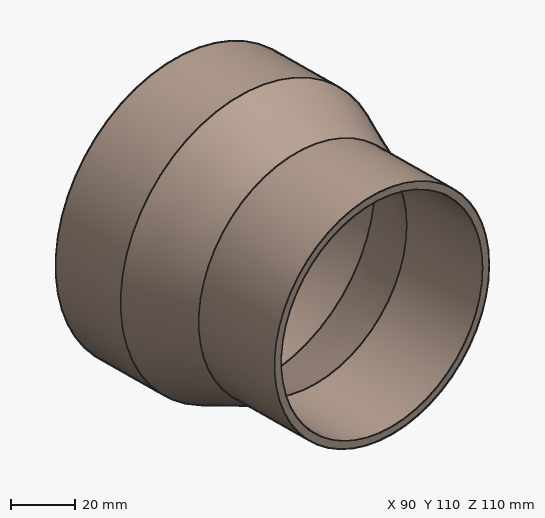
import cadquery as cq

large_outer_diameter = 110.0
large_inner_diameter = 103.2
small_outer_diameter = 90.0
small_inner_diameter = 84.4

large_length = 30.0
cone_length = 25.0
small_length = 35.0

cone_start = large_length
cone_end = cone_start + cone_length
total_length = cone_end + small_length


def stepped_body(large_diameter, small_diameter):
    """Solid of two cylinders joined by a cone, with its axis along X."""
    large_radius = large_diameter / 2
    small_radius = small_diameter / 2
    half_section = (
        cq.Workplane("XY")
        .moveTo(0, 0)
        .lineTo(0, large_radius)
        .lineTo(cone_start, large_radius)
        .lineTo(cone_end, small_radius)
        .lineTo(total_length, small_radius)
        .lineTo(total_length, 0)
        .close()
    )
    return half_section.revolve(360, (0, 0, 0), (1, 0, 0))


outer_body = stepped_body(large_outer_diameter, small_outer_diameter)
bore = stepped_body(large_inner_diameter, small_inner_diameter)

result = outer_body.cut(bore)